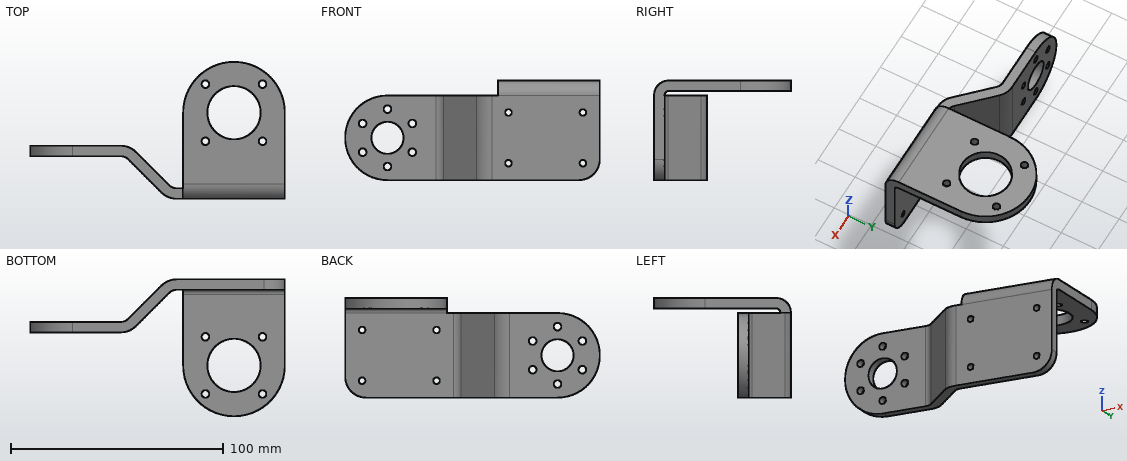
import cadquery as cq
import math

thickness = 5.0
length = 120.0
height = 40.0

jog = 20.0
jog_angle = 45.0
jog_inner_radius = 5.0
jog_outer_radius = jog_inner_radius + thickness
plate_start = 69.0
plate_corner_radius = 10.0

arm_radius = height / 2
arm_bore = 15.0
arm_hole = 3.5
arm_hole_count = 6
arm_hole_circle = 27.0

plate_hole = 3.0
plate_hole_inset = 8.0
plate_hole_spacing = 35.0

flange_width = 48.0
flange_reach = 64.5
flange_bend_inner = 2.0
flange_bend_outer = flange_bend_inner + thickness
flange_radius = flange_width / 2
flange_bore = 25.0
flange_hole = 3.5
flange_hole_pitch = 26.9
flange_center = (length - flange_radius, flange_reach - flange_radius)
top = height + flange_bend_outer


def make_strip():
    """Jogged upright strip, extruded from its plan outline with sharp bends, then rounded."""
    half_angle_tan = math.tan(math.radians(jog_angle / 2))
    front_plate_x = plate_start - jog_outer_radius * half_angle_tan
    front_arm_x = front_plate_x - jog / math.tan(math.radians(jog_angle))
    shift = thickness * half_angle_tan
    front_plate = (front_plate_x, 0)
    front_arm = (front_arm_x, jog)
    back_plate = (front_plate_x + shift, thickness)
    back_arm = (front_arm_x + shift, jog + thickness)

    outline = [
        (length, 0), front_plate, front_arm, (0, jog),
        (0, jog + thickness), back_arm, back_plate, (length, thickness),
    ]
    strip = cq.Workplane("XY").polyline(outline).close().extrude(height)
    bends = [
        (front_plate, jog_outer_radius), (front_arm, jog_inner_radius),
        (back_plate, jog_inner_radius), (back_arm, jog_outer_radius),
    ]
    for (x, y), radius in bends:
        corner = cq.selectors.NearestToPointSelector((x, y, height / 2))
        strip = strip.edges("|Z").edges(corner).fillet(radius)

    silhouette = (
        cq.Workplane("XZ")
        .moveTo(arm_radius, 0)
        .lineTo(length - plate_corner_radius, 0)
        .radiusArc((length, plate_corner_radius), -plate_corner_radius)
        .lineTo(length, height)
        .lineTo(arm_radius, height)
        .threePointArc((0, height / 2), (arm_radius, 0))
        .close()
        .extrude(-flange_reach)
    )
    return strip.intersect(silhouette)


def make_flange():
    """Horizontal flange with a round end, joined to the plate by a quarter bend."""
    center_x, center_y = flange_center
    left = length - flange_width
    bend = (
        cq.Workplane("YZ", origin=(left, 0, 0))
        .moveTo(0, height)
        .radiusArc((flange_bend_outer, top), flange_bend_outer)
        .lineTo(flange_bend_outer, top - thickness)
        .radiusArc((thickness, height), -flange_bend_inner)
        .close()
        .extrude(flange_width)
    )
    flat = (
        cq.Workplane("XY", origin=(0, 0, top - thickness))
        .moveTo(left, flange_bend_outer)
        .lineTo(length, flange_bend_outer)
        .lineTo(length, center_y)
        .threePointArc((center_x, flange_reach), (left, center_y))
        .close()
        .extrude(thickness)
    )
    return bend.union(flat)


def arm_holes():
    face = cq.Workplane("XZ", origin=(arm_radius, jog, height / 2))
    bore = face.circle(arm_bore / 2).extrude(-thickness)
    ring = (
        face.polarArray(arm_hole_circle / 2, 90, 360, arm_hole_count)
        .circle(arm_hole / 2)
        .extrude(-thickness)
    )
    return bore.union(ring)


def plate_holes():
    center_x = length - plate_hole_inset - plate_hole_spacing / 2
    return (
        cq.Workplane("XZ", origin=(center_x, 0, height / 2))
        .rarray(plate_hole_spacing, height - 2 * plate_hole_inset, 2, 2)
        .circle(plate_hole / 2)
        .extrude(-thickness)
    )


def flange_holes():
    face = cq.Workplane("XY", origin=(*flange_center, top - thickness))
    bore = face.circle(flange_bore / 2).extrude(thickness)
    corners = (
        face.rarray(flange_hole_pitch, flange_hole_pitch, 2, 2)
        .circle(flange_hole / 2)
        .extrude(thickness)
    )
    return bore.union(corners)


result = make_strip().union(make_flange())
for holes in (arm_holes(), plate_holes(), flange_holes()):
    result = result.cut(holes)